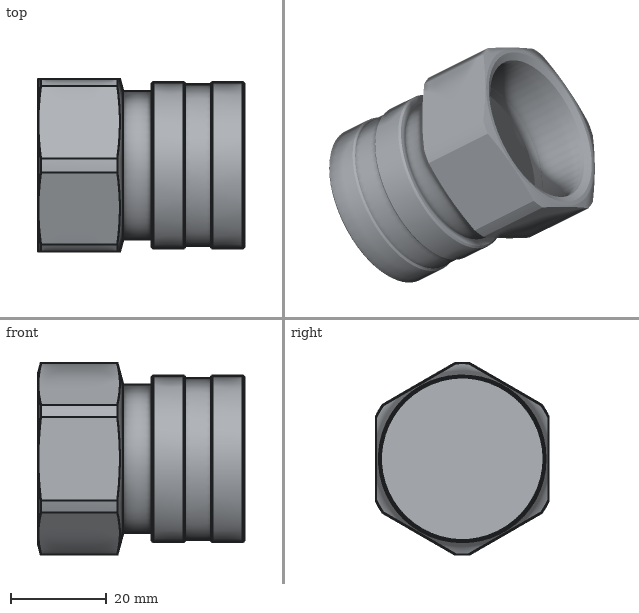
import cadquery as cq
import math

total_length = 43.0

across_flats = 36.0
corner_diameter = 40.0
nut_length = 17.7
cone_angle = 15.0
front_face_diameter = 35.55
bore_diameter = 30.9
bore_depth = 12.13
seat_diameter = 30.75
bore_mouth_diameter = 33.8
bore_mouth_angle = 30.0
bore_mouth_depth = (bore_mouth_diameter - bore_diameter) / 2 * math.tan(math.radians(bore_mouth_angle))

neck_diameter = 31.0
floor_depth = 14.05
collar_diameter = 34.7
collar_width = 7.0
groove_diameter = 33.8
groove_width = 5.35
collar_chamfer = 0.4


def cone_rise(inner_diameter, outer_diameter):
    """Axial length of an end cone between two diameters."""
    return (outer_diameter - inner_diameter) / 2 * math.tan(math.radians(cone_angle))


def cylinder(diameter, start, length):
    """Cylinder along X that begins at the given X position."""
    return cq.Workplane("YZ", origin=(start, 0, 0)).circle(diameter / 2).extrude(length)


def make_nut():
    """Hexagonal nut with coned corners and a chamfered bore that steps down to the seat."""
    corner_to_corner = across_flats / math.cos(math.radians(30))
    hexagon = (
        cq.Workplane("YZ")
        .transformed(rotate=(0, 0, 90))
        .polygon(6, corner_to_corner)
        .extrude(nut_length)
    )
    front_rise = cone_rise(front_face_diameter, corner_diameter)
    rear_rise = cone_rise(neck_diameter, corner_diameter)
    envelope = (
        cq.Workplane("XY")
        .moveTo(0, 0)
        .lineTo(0, front_face_diameter / 2)
        .lineTo(front_rise, corner_diameter / 2)
        .lineTo(nut_length - rear_rise, corner_diameter / 2)
        .lineTo(nut_length, neck_diameter / 2)
        .lineTo(nut_length, 0)
        .close()
        .revolve(360, (0, 0, 0), (1, 0, 0))
    )
    bore = (
        cq.Workplane("XY")
        .moveTo(0, 0)
        .lineTo(0, bore_mouth_diameter / 2)
        .lineTo(bore_mouth_depth, bore_diameter / 2)
        .lineTo(bore_depth, bore_diameter / 2)
        .lineTo(bore_depth, seat_diameter / 2)
        .lineTo(nut_length, seat_diameter / 2)
        .lineTo(nut_length, 0)
        .close()
        .revolve(360, (0, 0, 0), (1, 0, 0))
    )
    return hexagon.intersect(envelope).cut(bore)


def make_collar(start):
    """Collar with both outer edges chamfered."""
    return cylinder(collar_diameter, start, collar_width).edges().chamfer(collar_chamfer)


def make_stem():
    """Spigot in the nut bore, neck, and two collars with a groove between them."""
    rear_collar_start = total_length - collar_width
    groove_start = rear_collar_start - groove_width
    front_collar_start = groove_start - collar_width
    spigot = cylinder(seat_diameter, floor_depth, nut_length - floor_depth)
    neck = cylinder(neck_diameter, nut_length, front_collar_start - nut_length)
    groove = cylinder(groove_diameter, groove_start, groove_width)
    stem = spigot.union(neck).union(groove)
    for start in (front_collar_start, rear_collar_start):
        stem = stem.union(make_collar(start))
    return stem


nut = make_nut()
stem = make_stem()
result = cq.Compound.makeCompound([nut.val(), stem.val()])